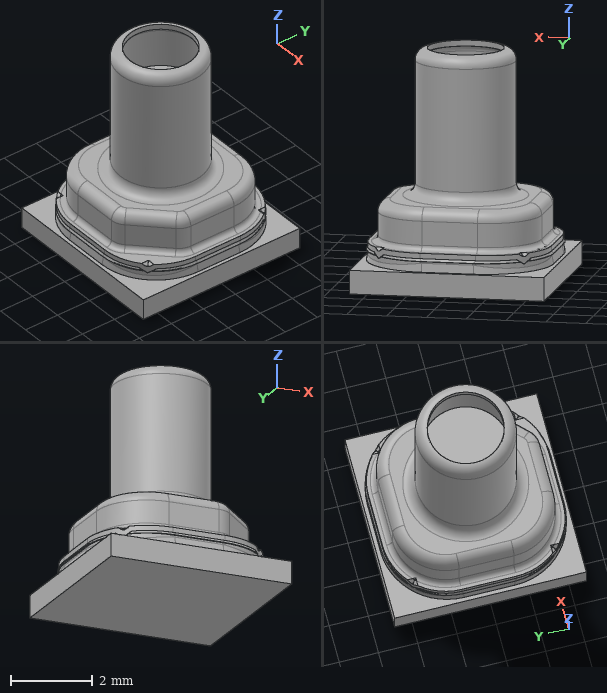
import cadquery as cq
import math

BASE_SIZE = 4.89
BASE_HEIGHT = 0.6

TOTAL_HEIGHT = 5.82
RIB_BOTTOM = 0.86
RIB_TOP = 0.93
FLANGE_TOP = 1.065
BODY_TOP = 2.125

FLANGE_SIZE = 4.6
FLANGE_CORNER = 1.6

NECK_SETBACK = 0.003
NECK_SIZE = FLANGE_SIZE - 2 * NECK_SETBACK
NECK_CORNER = FLANGE_CORNER - NECK_SETBACK

SKIRT_SIZE = 4.68
SKIRT_CORNER = 1.69
SKIRT_STEP = (SKIRT_SIZE - NECK_SIZE) / 2
SKIRT_FLARE_HEIGHT = 0.215
SKIRT_TAPER = math.degrees(math.atan(SKIRT_STEP / SKIRT_FLARE_HEIGHT))

BODY_SIZE = 4.1
BODY_CORNER = 1.35
FLAT_LEG = 1.19
FLAT_CORNER = 0.5

TUBE_RADIUS = 1.25
WALL = 0.15
ROUND = 2 * WALL
MOUTH_RADIUS = TUBE_RADIUS - ROUND
BORE_RADIUS = TUBE_RADIUS - WALL
BORE_DEPTH = 1.37

NICK_SIZE = 0.7
NICK_TAPER = 50.0
FLANGE_NICK_INSET = 1.715
FLANGE_NICK_DEPTH = 0.075
RIB_NICK_INSET = 1.67
RIB_NICK_DEPTH = 0.15

SEAM_MARGIN = 0.03


def rounded_square(size, corner, z):
    """Sketch of a rounded square centred on the Z axis at height z."""
    return cq.Sketch().rect(size, size).vertices().fillet(corner).moved(cq.Location(cq.Vector(0, 0, z)))


def corner_pyramids(inset, depth, top):
    """Four inverted pyramids whose inner corners lie at (+-inset, +-inset) at height top."""
    centre_spacing = 2 * inset + NICK_SIZE
    return (
        cq.Workplane("XY", origin=(0, 0, top))
        .rarray(centre_spacing, centre_spacing, 2, 2)
        .rect(NICK_SIZE, NICK_SIZE)
        .extrude(-depth, taper=NICK_TAPER)
    )


def rounded_prism(size, corner, bottom, top, taper=0):
    """Upright prism on a rounded square, narrowing upwards by the taper angle."""
    return (
        cq.Workplane("XY")
        .placeSketch(rounded_square(size, corner, bottom))
        .extrude(top - bottom, taper=taper)
    )


def make_skirt():
    """Flange over a narrower neck and flared foot, with the flange wall reaching down as corner tongues."""
    flange = rounded_prism(FLANGE_SIZE, FLANGE_CORNER, RIB_BOTTOM, FLANGE_TOP)
    neck = rounded_prism(NECK_SIZE, NECK_CORNER, BASE_HEIGHT, RIB_BOTTOM)
    foot = rounded_prism(SKIRT_SIZE, SKIRT_CORNER, BASE_HEIGHT, RIB_BOTTOM, SKIRT_TAPER)
    tongues = rounded_prism(FLANGE_SIZE, FLANGE_CORNER, BASE_HEIGHT, FLANGE_TOP).intersect(
        corner_pyramids(RIB_NICK_INSET, RIB_NICK_DEPTH, RIB_TOP)
    )
    return flange.union(neck).union(foot).union(tongues)


def make_rib():
    """Bevelled snap rib around the flange, interrupted at the corners."""
    rib = (
        cq.Workplane("XY")
        .placeSketch(
            rounded_square(SKIRT_SIZE, SKIRT_CORNER, RIB_BOTTOM),
            rounded_square(FLANGE_SIZE, FLANGE_CORNER, RIB_TOP),
        )
        .loft(ruled=True)
    )
    return rib.cut(corner_pyramids(RIB_NICK_INSET, RIB_NICK_DEPTH, RIB_TOP))


def make_body():
    """Raised body with its (+X, -Y) corner cut flat and its top edge rounded."""
    half = BODY_SIZE / 2
    body = (
        cq.Workplane("XY", origin=(0, 0, BASE_HEIGHT))
        .rect(BODY_SIZE, BODY_SIZE)
        .extrude(BODY_TOP - BASE_HEIGHT)
    )
    body = body.edges("|Z").edges("<X or >Y").fillet(BODY_CORNER)
    body = body.edges("|Z").edges(">X and <Y").chamfer(FLAT_LEG)
    for x, y in ((half, FLAT_LEG - half), (half - FLAT_LEG, -half)):
        edge = cq.selectors.NearestToPointSelector((x, y, (BASE_HEIGHT + BODY_TOP) / 2))
        body = body.edges("|Z").edges(edge).fillet(FLAT_CORNER)
    return body.faces(">Z").edges().fillet(ROUND)


def make_tube():
    """Tube with a rounded mouth and a root that flares into the body."""
    root_radius = TUBE_RADIUS + ROUND
    diagonal = ROUND * math.sqrt(0.5)
    root_z = BODY_TOP + ROUND
    mouth_z = TOTAL_HEIGHT - ROUND
    return (
        cq.Workplane("XZ")
        .moveTo(0, BASE_HEIGHT)
        .lineTo(root_radius, BASE_HEIGHT)
        .lineTo(root_radius, BODY_TOP)
        .threePointArc((root_radius - diagonal, root_z - diagonal), (TUBE_RADIUS, root_z))
        .lineTo(TUBE_RADIUS, mouth_z)
        .threePointArc((MOUTH_RADIUS + diagonal, mouth_z + diagonal), (MOUTH_RADIUS, TOTAL_HEIGHT))
        .lineTo(0, TOTAL_HEIGHT)
        .close()
        .revolve(360, (0, 0, 0), (0, 1, 0))
    )


def make_bore():
    """Blind bore: a narrow lip at the mouth, rounded out to the full bore below."""
    lip_z = TOTAL_HEIGHT - WALL
    diagonal = WALL * math.sqrt(0.5)
    round_z = lip_z - WALL
    floor_z = TOTAL_HEIGHT - BORE_DEPTH
    return (
        cq.Workplane("XZ")
        .moveTo(0, floor_z)
        .lineTo(BORE_RADIUS, floor_z)
        .lineTo(BORE_RADIUS, round_z)
        .threePointArc((MOUTH_RADIUS + diagonal, round_z + diagonal), (MOUTH_RADIUS, lip_z))
        .lineTo(MOUTH_RADIUS, TOTAL_HEIGHT)
        .lineTo(0, TOTAL_HEIGHT)
        .close()
        .revolve(360, (0, 0, 0), (0, 1, 0))
    )


base = cq.Workplane("XY").rect(BASE_SIZE, BASE_SIZE).extrude(BASE_HEIGHT)
housing = make_skirt().union(make_body())

seam_reach = BODY_SIZE / 2 + SEAM_MARGIN
seam_box = cq.selectors.BoxSelector(
    (-seam_reach, -seam_reach, FLANGE_TOP - SEAM_MARGIN),
    (seam_reach, seam_reach, FLANGE_TOP + SEAM_MARGIN),
    boundingbox=True,
)
housing = housing.edges(seam_box).fillet(WALL)
housing = housing.cut(corner_pyramids(FLANGE_NICK_INSET, FLANGE_NICK_DEPTH, FLANGE_TOP))

result = base.union(housing).union(make_rib()).union(make_tube()).cut(make_bore())